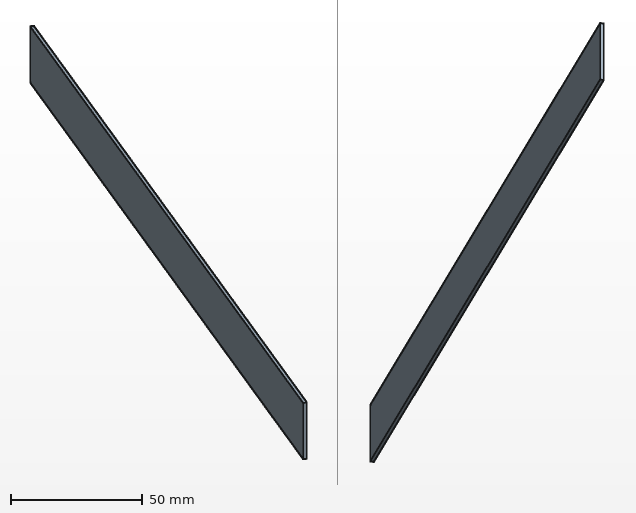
import cadquery as cq

length = 298.5
thickness = 1.5
height = 25.0

result = cq.Workplane("XY").box(length, thickness, height)